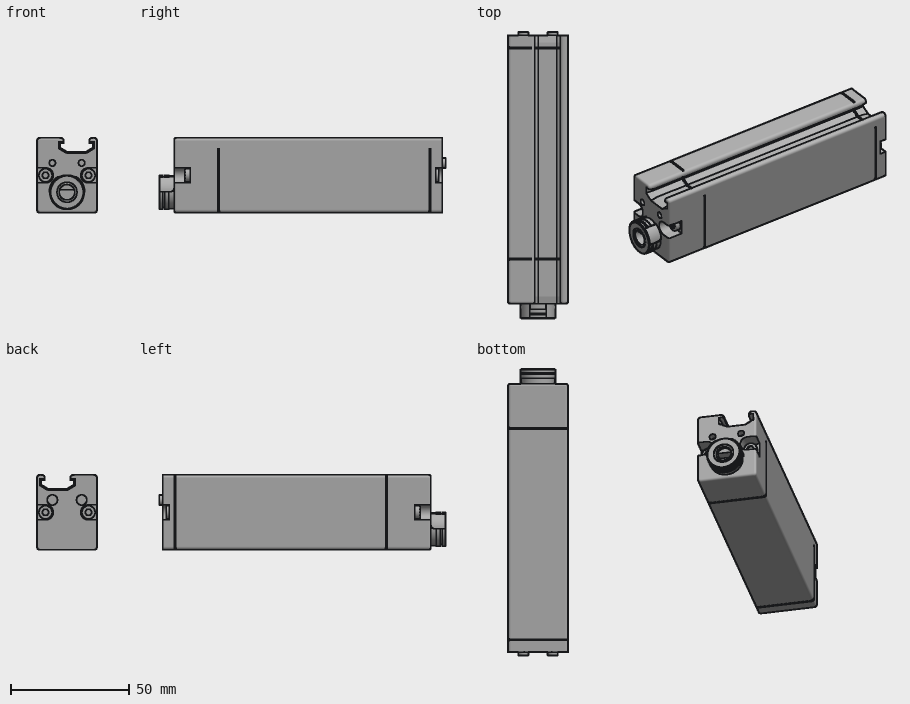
import cadquery as cq
import math

width = 25.5
length = 121.2
height = 31.7

stud_height = 1.5
connector_length = 6.3
front = -length / 2 + connector_length
rear = length / 2 - stud_height
long_edge_radius = 1.3
front_edge_radius = 1.0

channel_x = 4.0
lip_half_gap = 5.3
lip_left = channel_x - lip_half_gap
lip_right = channel_x + lip_half_gap
lip_depth = 2.3
lip_edge_radius = 1.5
channel_half_width = 6.9
channel_wall_depth = 4.2
channel_depth = 5.9
channel_floor_half = 4.0
flare = 0.6
flare_length = 3.0

seam_width = 0.6
seam_depth = 0.7
front_cap_length = 18.5
rear_cap_length = 5.0
rail_depth = 4.7

pocket_x = 9.0
screw_x = 9.1
pocket_z = 15.9
pocket_radius = 3.1
front_pocket_depth = 6.8
rear_pocket_depth = 2.8
screw_radius = 2.8
front_screw_height = 2.2
screw_edge_radius = 0.5
rear_screw_height = 1.3
socket_across_corners = 2.9
socket_depth = 0.7

stud_x = 6.2
stud_z = 21.1
hole_diameter = 2.7
hole_depth = 3.6
stud_radius = 2.2
stud_edge_radius = 0.5

connector_z = 8.7
connector_radius = 7.3
connector_chamfer = 0.4
ring_groove_offset = 1.6
ring_groove_width = 0.7
ring_groove_depth = 0.7
neck_length = 2.3
neck_depth = 0.2
pad_radius = 7.5
pad_start_angle = 2
pad_end_angle = 62
pad_corner_radius = 1.5
socket_recess_radius = 4.2
socket_recess_depth = 0.5
bore_radius = 3.3
bore_depth = 6.0
key_offset = 1.1
key_depth = 1.8


def box(x_min, x_max, y_min, y_max, z_min, z_max):
    """Block between the given limits."""
    size = (x_max - x_min, y_max - y_min, z_max - z_min)
    return cq.Workplane("XY").box(*size, centered=False).translate((x_min, y_min, z_min))


def rod(radius, x, z, y_start, y_end):
    """Cylinder along Y."""
    plane = cq.Plane((x, y_start, z), (1, 0, 0), (0, 1, 0))
    return cq.Workplane(plane).circle(radius).extrude(y_end - y_start)


def channel_points(growth):
    """Section of the channel below its lips, enlarged by the given amount."""
    half = channel_half_width + growth
    ceiling = height - lip_depth + growth
    wall_end = height - channel_wall_depth - growth / 2
    floor = height - channel_depth - growth
    return [
        (channel_x - half, ceiling),
        (channel_x - half, wall_end),
        (channel_x - channel_floor_half, floor),
        (channel_x + channel_floor_half, floor),
        (channel_x + half, wall_end),
        (channel_x + half, ceiling),
    ]


def channel_prism(y_start, y_end, growth=0.0):
    """Straight stretch of the channel below its lips."""
    plane = cq.Plane((0, y_end, 0), (1, 0, 0), (0, -1, 0))
    return cq.Workplane(plane).polyline(channel_points(growth)).close().extrude(y_end - y_start)


def channel_flare(y_end_face, y_inner):
    """Tapered mouth of the channel, widest at the end face."""
    wires = []
    for y, growth in ((y_end_face, flare), (y_inner, 0.0)):
        corners = [cq.Vector(x, y, z) for x, z in channel_points(growth)]
        wires.append(cq.Wire.makePolygon(corners, close=True))
    return cq.Workplane(obj=cq.Solid.makeLoft(wires, True))


def make_body():
    """Long block with rounded edges and the channel along its top."""
    body = box(-width / 2, width / 2, front, rear, 0, height)
    body = body.cut(box(lip_left, lip_right, front, rear, height - lip_depth, height))
    body = body.edges("|Y and (<X or >X)").fillet(long_edge_radius)
    lip_edges = cq.selectors.BoxSelector(
        (lip_left - lip_edge_radius, front, height - lip_edge_radius / 2),
        (lip_right + lip_edge_radius, rear, height + lip_edge_radius),
    )
    body = body.edges("|Y").edges(lip_edges).fillet(lip_edge_radius)
    body = body.faces("<Y").edges().fillet(front_edge_radius)
    body = body.cut(channel_prism(front, rear))
    body = body.cut(channel_flare(front, front + flare_length))
    return body.cut(channel_flare(rear, rear - flare_length))


def seam(y_start):
    """Groove around the body and across the channel floor that skips the channel lips."""
    y_end = y_start + seam_width
    half_core = width / 2 - seam_depth
    core = box(-half_core, half_core, y_start, y_end, seam_depth, height - seam_depth)
    core = core.cut(channel_prism(y_start, y_end, seam_depth))
    left_lip = box(lip_left - lip_edge_radius, lip_left, y_start, y_end, height - lip_depth, height)
    right_rail = box(lip_right, width / 2, y_start, y_end, height - rail_depth, height)
    ring = box(-width / 2, width / 2, y_start, y_end, 0, height)
    return ring.cut(core).cut(left_lip).cut(right_rail)


def pocket(side, y_start, y_end):
    """Round-ended pocket that runs out through one side of the body."""
    axis_x = side * pocket_x
    x_min, x_max = sorted((axis_x, side * width / 2))
    opening = box(x_min, x_max, y_start, y_end, pocket_z - pocket_radius, pocket_z + pocket_radius)
    return rod(pocket_radius, axis_x, pocket_z, y_start, y_end).union(opening)


def screw_head(side, y_seat, y_top):
    """Cylindrical screw head with a hexagon socket in its outer end."""
    axis_x = side * screw_x
    outward = math.copysign(1, y_top - y_seat)
    plane = cq.Plane((axis_x, y_top, pocket_z), (1, 0, 0), (0, -outward, 0))
    socket = cq.Workplane(plane).polygon(6, socket_across_corners).extrude(socket_depth)
    head = rod(screw_radius, axis_x, pocket_z, y_seat, y_top)
    head = head.faces(">Y" if outward > 0 else "<Y").edges().fillet(screw_edge_radius)
    return head.cut(socket)


def make_pad(side, y_start, y_end):
    """Raised pad on the upper quarter of the connector, rounded at its low corner next to the body."""
    reach = 2 * pad_radius
    section = [(0, 0)]
    for degrees in (pad_start_angle, pad_end_angle):
        angle = math.radians(degrees)
        section.append((side * reach * math.cos(angle), reach * math.sin(angle)))
    plane = cq.Plane((0, y_end, connector_z), (1, 0, 0), (0, -1, 0))
    sector = cq.Workplane(plane).polyline(section).close().extrude(y_end - y_start)
    low_corner = connector_z + reach * math.sin(math.radians(pad_start_angle)) / 2
    nearest = cq.selectors.NearestToPointSelector((side * reach / 2, y_end, low_corner))
    sector = sector.edges(nearest).fillet(pad_corner_radius)
    return rod(pad_radius, 0, connector_z, y_start, y_end).intersect(sector)


def make_connector():
    """Ring-grooved round connector with two pads and a keyed bore."""
    tip = front - connector_length
    connector = rod(connector_radius, 0, connector_z, tip, front)
    connector = connector.faces("<Y").edges().chamfer(connector_chamfer)
    groove_start = tip + ring_groove_offset
    for depth, y_start, y_end in (
        (ring_groove_depth, groove_start, groove_start + ring_groove_width),
        (neck_depth, front - neck_length, front),
    ):
        outer = rod(connector_radius, 0, connector_z, y_start, y_end)
        inner = rod(connector_radius - depth, 0, connector_z, y_start, y_end)
        connector = connector.cut(outer.cut(inner))
    for side in (-1, 1):
        connector = connector.union(make_pad(side, tip + connector_chamfer, front))
    recess = rod(socket_recess_radius, 0, connector_z, tip, tip + socket_recess_depth)
    bore = rod(bore_radius, 0, connector_z, tip, tip + bore_depth)
    key_z = connector_z + key_offset
    key = box(-bore_radius, bore_radius, tip + key_depth, front, key_z, connector_z + bore_radius)
    return connector.cut(recess).cut(bore.cut(key))


result = make_body()

for seam_start in (front + front_cap_length, rear - rear_cap_length - seam_width):
    result = result.cut(seam(seam_start))

for side in (-1, 1):
    front_seat = front + front_pocket_depth
    rear_seat = rear - rear_pocket_depth
    result = result.cut(pocket(side, front, front_seat))
    result = result.cut(pocket(side, rear_seat, rear))
    result = result.union(screw_head(side, front_seat, front_seat - front_screw_height))
    result = result.union(screw_head(side, rear_seat, rear_seat + rear_screw_height))

    result = result.cut(rod(hole_diameter / 2, side * stud_x, stud_z, front, front + hole_depth))
    stud = rod(stud_radius, side * stud_x, stud_z, rear, rear + stud_height)
    result = result.union(stud.faces(">Y").edges().fillet(stud_edge_radius))

result = result.union(make_connector())